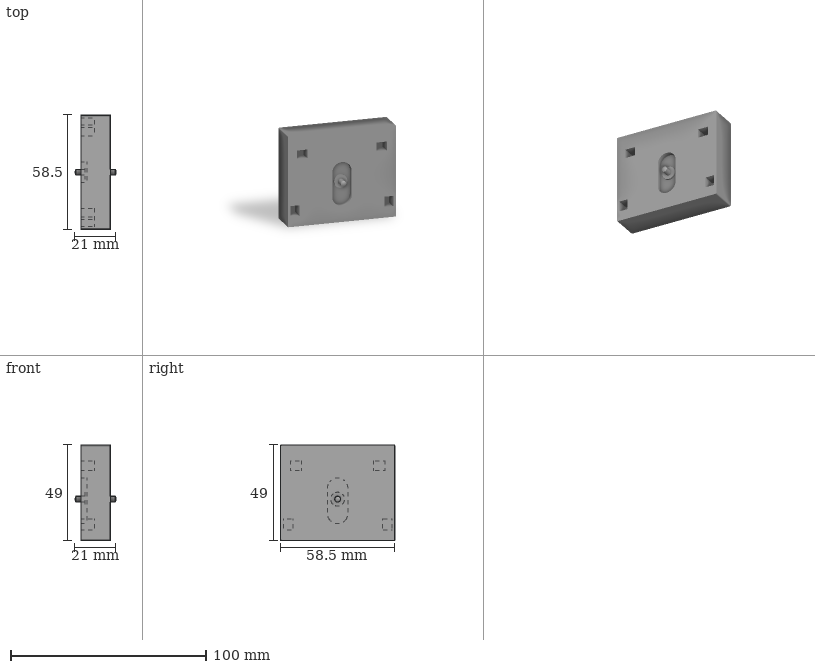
import cadquery as cq

block_x = 15.0
block_y = 58.5
block_z = 49.0
edge_radius = 0.5

pin_length = 21.0
pin_diameter = 3.0
pin_z = -3.2
pin_dome = 0.5

slot_width = 10.5
slot_height = 23.4
slot_z = -4.1
slot_depth = 3.0
boss_diameter = 7.1
boss_height = 1.0

pocket_long = 5.75
pocket_short = 4.85
pocket_depth = 7.0
upper_pocket_y = 21.35
upper_pocket_z = 13.8
lower_pocket_y = 25.4
lower_pocket_z = -16.15

face_x = -block_x / 2
slot_floor_x = face_x + slot_depth


def plane_at(x):
    """Plane facing +X whose local axes are global Y and Z."""
    return cq.Workplane("YZ", origin=(x, 0, 0))


def pocket_pair(y, z, width, height):
    """Two pockets placed symmetrically about the middle of the face."""
    centres = [(-y, z), (y, z)]
    return plane_at(face_x).pushPoints(centres).rect(width, height).extrude(pocket_depth)


def domed_pin():
    """Pin with a shallow spherical dome on each end, revolved about its axis."""
    half_length = pin_length / 2
    radius = pin_diameter / 2
    shoulder = half_length - pin_dome
    dome_radius = (radius**2 + pin_dome**2) / (2 * pin_dome)
    mid_height = radius / 2
    mid_x = half_length - dome_radius + (dome_radius**2 - mid_height**2) ** 0.5
    profile = (
        cq.Workplane("XY")
        .moveTo(-half_length, 0)
        .threePointArc((-mid_x, mid_height), (-shoulder, radius))
        .lineTo(shoulder, radius)
        .threePointArc((mid_x, mid_height), (half_length, 0))
        .close()
    )
    return profile.revolve(360, (0, 0, 0), (1, 0, 0)).translate((0, 0, pin_z))


block = cq.Workplane("XY").box(block_x, block_y, block_z).edges("|X").fillet(edge_radius)
slot = plane_at(face_x).center(0, slot_z).slot2D(slot_height, slot_width, 90).extrude(slot_depth)
boss = plane_at(slot_floor_x).center(0, pin_z).circle(boss_diameter / 2).extrude(-boss_height)
upper_pockets = pocket_pair(upper_pocket_y, upper_pocket_z, pocket_long, pocket_short)
lower_pockets = pocket_pair(lower_pocket_y, lower_pocket_z, pocket_short, pocket_long)

result = block.cut(slot).cut(upper_pockets).cut(lower_pockets).union(boss).union(domed_pin())